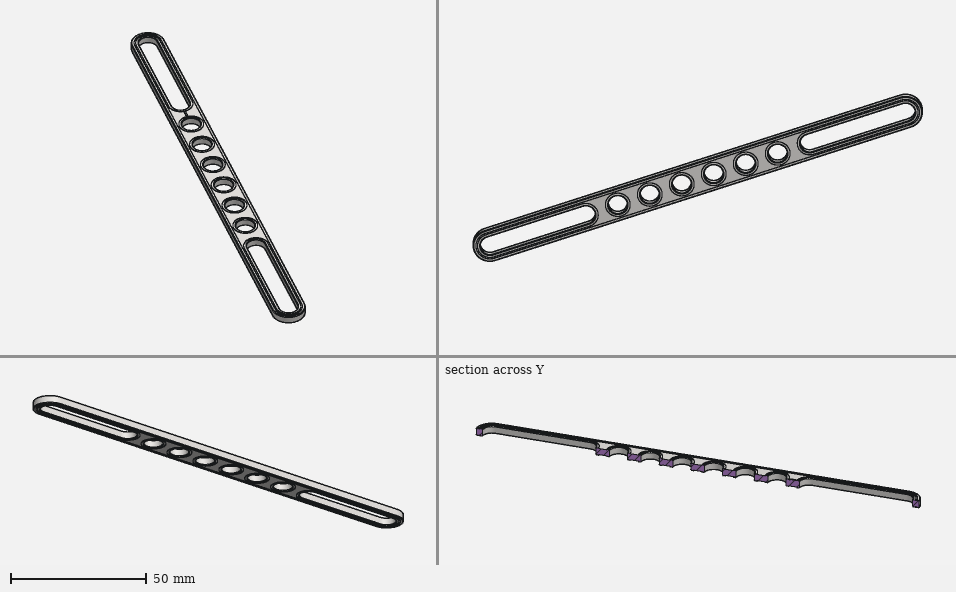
import cadquery as cq

pitch = 12.5
module_count = 14
length = module_count * pitch
width = pitch
thickness = pitch / 4
edge_chamfer = 0.3

hole_diameter = 7.0
collar_diameter = 9.2
border_width = (collar_diameter - hole_diameter) / 2
recess_depth = 0.2

round_hole_count = 6
slot_outer_center_x = (length - width) / 2
slot_inner_center_x = (round_hole_count + 1) * pitch / 2
slot_middle_x = (slot_outer_center_x + slot_inner_center_x) / 2
slot_center_distance = slot_outer_center_x - slot_inner_center_x

hole_centers = [((i - (round_hole_count - 1) / 2) * pitch, 0) for i in range(round_hole_count)]
slot_middles = [(-slot_middle_x, 0), (slot_middle_x, 0)]

bar_length = 2.5
bar_width = 0.6
bar_center_x = -37.75


def openings(diameter, base_z, height):
    """Round holes and end slots of one diameter, as solid bodies."""
    plane = cq.Workplane("XY").workplane(offset=base_z)
    holes = plane.pushPoints(hole_centers).circle(diameter / 2).extrude(height)
    slots = plane.pushPoints(slot_middles).slot2D(slot_center_distance + diameter, diameter).extrude(height)
    return holes.union(slots)


def perforated_plate():
    """Round-ended plate with its openings, every top and bottom edge chamfered."""
    plate = cq.Workplane("XY").slot2D(length, width).extrude(thickness)
    plate = plate.cut(openings(hole_diameter, 0, thickness))
    return plate.faces("|Z").edges().chamfer(edge_chamfer)


def face_recess(base_z):
    """Shallow pocket inside the rim, leaving a collar around every opening."""
    pocket = (
        cq.Workplane("XY")
        .workplane(offset=base_z)
        .slot2D(length - 2 * border_width, width - 2 * border_width)
        .extrude(recess_depth)
    )
    return pocket.cut(openings(collar_diameter, base_z, recess_depth))


def raised_bar(base_z):
    """Bar standing on the recess floor, level with the collars."""
    return (
        cq.Workplane("XY")
        .workplane(offset=base_z)
        .center(bar_center_x, 0)
        .rect(bar_length, bar_width)
        .extrude(recess_depth)
    )


top_recess_floor = thickness - recess_depth

result = perforated_plate()
for recess_base in (0, top_recess_floor):
    result = result.cut(face_recess(recess_base))
result = result.union(raised_bar(top_recess_floor))